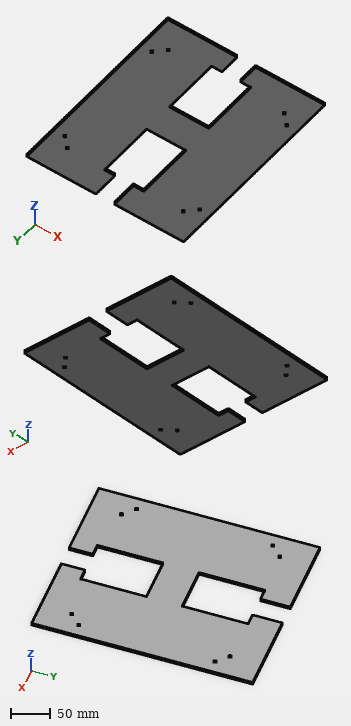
import cadquery as cq

width = 250.0
length = 300.0
thickness = 4.0

window_width = 62.5
window_length = 89.5
mouth_width = 29.5
back_lip = 40.5
front_lip = 32.0

hole_diameter = 3.5
hole_far = 107.5
hole_near = 92.5


def end_opening(end, lip):
    """Window and mouth cutter; end is +1 for the +Y end, -1 for the -Y end."""
    window_center = end * (length / 2 - lip - window_length / 2)
    mouth_center = end * (length / 2 - lip / 2)
    window = (
        cq.Workplane("XY")
        .center(0, window_center)
        .rect(window_width, window_length)
        .extrude(thickness)
    )
    mouth = (
        cq.Workplane("XY")
        .center(0, mouth_center)
        .rect(mouth_width, lip)
        .extrude(thickness)
    )
    return window.union(mouth)


plate = cq.Workplane("XY").box(width, length, thickness, centered=(True, True, False))
plate = plate.cut(end_opening(1, back_lip))
plate = plate.cut(end_opening(-1, front_lip))

hole_centers = []
for x_side in (-1, 1):
    for y_side in (-1, 1):
        hole_centers.append((x_side * hole_far, y_side * hole_near))
        hole_centers.append((x_side * hole_near, y_side * hole_far))

result = plate.faces(">Z").workplane(origin=(0, 0, 0)).pushPoints(hole_centers).hole(hole_diameter)